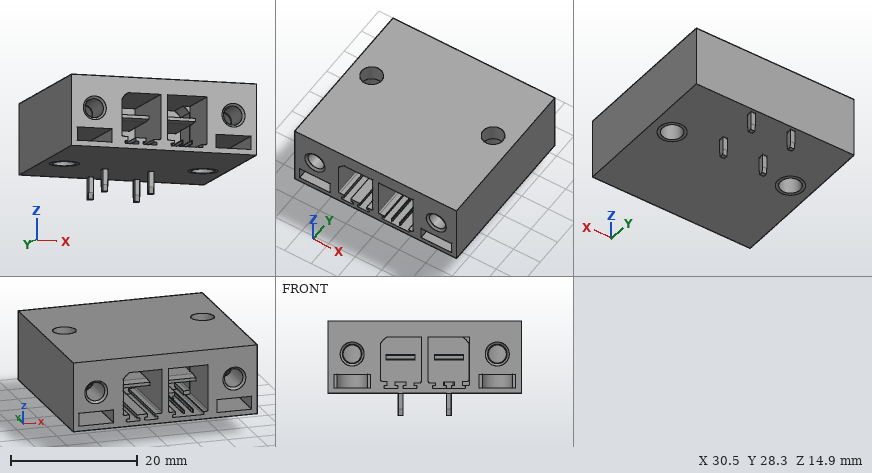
import cadquery as cq


WIDTH = 30.48
DEPTH = 28.3
HEIGHT = 11.4

POLE_PITCH = 7.62
POLE_X = POLE_PITCH / 2
FLANGE_X = 1.5 * POLE_PITCH
FLANGE_Y = 16.35

CAVITY_DEPTH = 13.72
CAVITY_TOP = 8.9
PLAIN_WALL = 3.25
KEYED_WALL = 3.15
CORNER_CUT = 1.05
CORNER_RADIUS = 3.35
PLAIN_LEDGE_Z = 1.65
KEYED_LEDGE_Z = 1.9
LEDGE_END = 2.13
LEDGE_FILLET = 0.25

RIB_HALF_WIDTH = 0.85
RIB_TOP = 1.77
GROOVE_FLOOR = 0.75
GROOVE_TOP = 1.25
GROOVE_INNER = 0.37
GROOVE_OUTER = 2.62
GROOVE_TOP_FILLET = 0.25
GROOVE_FLOOR_FILLET = 0.2

ENTRY_DEPTH = 9.15
RIB_CORE_HALF_WIDTH = 0.67

BLADE_WIDTH = 4.55
BLADE_THICKNESS = 0.82
BLADE_Z = 5.67
BLADE_TIP_Y = 3.1
BLADE_TIP_THICKNESS = 0.52
BLADE_TAPER_LENGTH = 1.68
PIN_WIDTH = 0.8
PIN_DEPTH = 0.98
PIN_LENGTH = 3.5
PIN_TIP_LENGTH = 1.05
PIN_TIP_DEPTH = 0.67
PIN_PITCH = 7.62
REAR_PIN_INSET = 1.1
REAR_PIN_Y = DEPTH - REAR_PIN_INSET
FRONT_PIN_Y = REAR_PIN_Y - PIN_PITCH

SLEEVE_RADIUS = 2.38
SLEEVE_HEIGHT = 8.53
MOUNT_RADIUS = 1.85
SLOT_HALF_WIDTH = 2.85
SLOT_BOTTOM = 0.85
SLOT_TOP = 3.0
SCREW_Z = 6.2
SCREW_RADIUS = 1.43
COUNTERBORE_RADIUS = 1.52
COUNTERBORE_DEPTH = 6.1
SCREW_CHAMFER = 0.37


def box(x_range, y_range, z_range):
    """Axis-aligned block given by its (low, high) limits."""
    size = [high - low for low, high in (x_range, y_range, z_range)]
    corner = (x_range[0], y_range[0], z_range[0])
    return cq.Workplane("XY").box(*size, centered=False).translate(corner)


def rearward_cylinder(radius, x, z, length):
    """Cylinder that starts at the mating face and runs toward +Y."""
    return cq.Workplane("XZ", origin=(x, 0, z)).circle(radius).extrude(-length)


def fillet_long_edge(body, x, z, length, radius):
    """Round the edge along Y whose middle lies at (x, length / 2, z)."""
    nearest = cq.selectors.NearestToPointSelector((x, length / 2, z))
    return body.edges("|Y").edges(nearest).fillet(radius)


def make_groove():
    """Undercut groove on the +X side of the rib."""
    groove = box((GROOVE_INNER, GROOVE_OUTER), (0, CAVITY_DEPTH), (GROOVE_FLOOR, GROOVE_TOP))
    groove = groove.edges("|Y and >Z").fillet(GROOVE_TOP_FILLET)
    return groove.faces("<Z").edges("|Y").fillet(GROOVE_FLOOR_FILLET)


def make_plug_cavity():
    """Cavity centred on X = 0 with its keyed wall on the +X side."""
    ledges_and_rib = [
        (KEYED_WALL, KEYED_LEDGE_Z),
        (LEDGE_END, KEYED_LEDGE_Z),
        (LEDGE_END, GROOVE_TOP),
        (RIB_HALF_WIDTH, GROOVE_TOP),
        (RIB_HALF_WIDTH, RIB_TOP),
        (-RIB_HALF_WIDTH, RIB_TOP),
        (-RIB_HALF_WIDTH, GROOVE_TOP),
        (-LEDGE_END, GROOVE_TOP),
        (-LEDGE_END, PLAIN_LEDGE_Z),
        (-PLAIN_WALL, PLAIN_LEDGE_Z),
    ]
    outline = (
        cq.Workplane("XZ")
        .moveTo(-PLAIN_WALL, CAVITY_TOP)
        .lineTo(KEYED_WALL - CORNER_CUT, CAVITY_TOP)
        .radiusArc((KEYED_WALL, CAVITY_TOP - CORNER_CUT), CORNER_RADIUS)
        .polyline(ledges_and_rib, includeCurrent=True)
        .close()
    )
    chamber = outline.extrude(-CAVITY_DEPTH)
    chamber = fillet_long_edge(chamber, KEYED_WALL, KEYED_LEDGE_Z, CAVITY_DEPTH, LEDGE_FILLET)
    chamber = fillet_long_edge(chamber, -PLAIN_WALL, PLAIN_LEDGE_Z, CAVITY_DEPTH, LEDGE_FILLET)
    groove = make_groove()
    return chamber.union(groove).union(groove.mirror("YZ"))


def make_entry():
    """Clearance that squares off the keyed side and clears the core of the rib."""
    keyed_side = box((LEDGE_END, PLAIN_WALL), (0, ENTRY_DEPTH), (GROOVE_TOP, CAVITY_TOP))
    keyed_side = fillet_long_edge(keyed_side, PLAIN_WALL, GROOVE_TOP, ENTRY_DEPTH, LEDGE_FILLET)
    corner = box((0, PLAIN_WALL), (0, ENTRY_DEPTH), (CAVITY_TOP - CORNER_CUT, CAVITY_TOP))
    rib_core = box(
        (-RIB_CORE_HALF_WIDTH, RIB_CORE_HALF_WIDTH),
        (0, ENTRY_DEPTH),
        (GROOVE_FLOOR, RIB_TOP),
    )
    return keyed_side.union(corner).union(rib_core)


def make_flange_openings(x):
    """Mounting hole, sleeve clearance slot and chamfered screw hole of one flange."""
    mount = cq.Workplane("XY").center(x, FLANGE_Y).circle(MOUNT_RADIUS).extrude(HEIGHT)
    slot = box(
        (x - SLOT_HALF_WIDTH, x + SLOT_HALF_WIDTH),
        (0, FLANGE_Y + SLOT_HALF_WIDTH),
        (SLOT_BOTTOM, SLOT_TOP),
    )
    screw_hole = rearward_cylinder(SCREW_RADIUS, x, SCREW_Z, FLANGE_Y)
    counterbore = rearward_cylinder(COUNTERBORE_RADIUS, x, SCREW_Z, COUNTERBORE_DEPTH)
    mouth = cq.Solid.makeCone(
        COUNTERBORE_RADIUS + SCREW_CHAMFER,
        COUNTERBORE_RADIUS,
        SCREW_CHAMFER,
        pnt=cq.Vector(x, 0, SCREW_Z),
        dir=cq.Vector(0, 1, 0),
    )
    return mount.union(slot).union(screw_hole).union(counterbore).union(cq.Workplane(mouth))


def make_sleeve(x):
    """Mounting sleeve standing in the flange, flush with the underside."""
    sleeve = cq.Workplane("XY").center(x, FLANGE_Y).circle(SLEEVE_RADIUS).circle(MOUNT_RADIUS)
    return sleeve.extrude(SLEEVE_HEIGHT)


def make_pin(x, y):
    """Solder pin that runs down from the blade and tapers in depth at its tip."""
    half_depth = PIN_DEPTH / 2
    half_tip = PIN_TIP_DEPTH / 2
    taper_z = PIN_TIP_LENGTH - PIN_LENGTH
    side = [
        (y - half_depth, BLADE_Z),
        (y - half_depth, taper_z),
        (y - half_tip, -PIN_LENGTH),
        (y + half_tip, -PIN_LENGTH),
        (y + half_depth, taper_z),
        (y + half_depth, BLADE_Z),
    ]
    plane = cq.Workplane("YZ", origin=(x, 0, 0))
    return plane.polyline(side).close().extrude(PIN_WIDTH / 2, both=True)


def make_blade(x):
    """Flat blade along Y whose thickness tapers toward its tip."""
    half_thickness = BLADE_THICKNESS / 2
    half_tip = BLADE_TIP_THICKNESS / 2
    taper_end_y = BLADE_TIP_Y + BLADE_TAPER_LENGTH
    rear_y = REAR_PIN_Y + PIN_DEPTH / 2
    side = [
        (BLADE_TIP_Y, BLADE_Z - half_tip),
        (taper_end_y, BLADE_Z - half_thickness),
        (rear_y, BLADE_Z - half_thickness),
        (rear_y, BLADE_Z + half_thickness),
        (taper_end_y, BLADE_Z + half_thickness),
        (BLADE_TIP_Y, BLADE_Z + half_tip),
    ]
    plane = cq.Workplane("YZ", origin=(x, 0, 0))
    return plane.polyline(side).close().extrude(BLADE_WIDTH / 2, both=True)


def make_contact(x):
    """Blade that points at the mating face, with its front and rear solder pins."""
    contact = make_blade(x)
    for y in (FRONT_PIN_Y, REAR_PIN_Y):
        contact = contact.union(make_pin(x, y))
    return contact


def make_housing(contacts, sleeves):
    """Block with both plug cavities and flanges, fitted around the other bodies."""
    housing = box((-WIDTH / 2, WIDTH / 2), (0, DEPTH), (0, HEIGHT))
    cavity = make_plug_cavity()
    housing = housing.cut(cavity.translate((POLE_X, 0, 0)))
    housing = housing.cut(cavity.mirror("YZ").translate((-POLE_X, 0, 0)))
    housing = housing.cut(make_entry().translate((POLE_X, 0, 0)))
    for x in (-FLANGE_X, FLANGE_X):
        housing = housing.cut(make_flange_openings(x))
    for insert in contacts + sleeves:
        housing = housing.cut(insert)
    return housing


contacts = [make_contact(x) for x in (-POLE_X, POLE_X)]
sleeves = [make_sleeve(x) for x in (-FLANGE_X, FLANGE_X)]
housing = make_housing(contacts, sleeves)

result = cq.Compound.makeCompound([housing.val()] + [body.val() for body in contacts + sleeves])